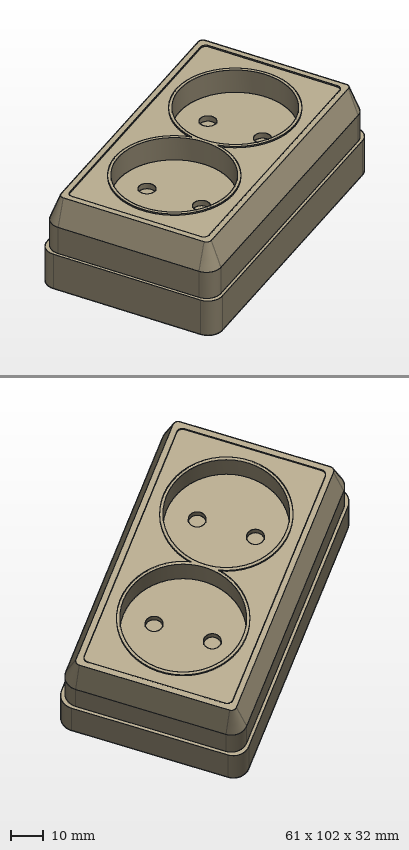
import cadquery as cq

base_width = 61.0
base_length = 102.0
base_height = 13.1
corner_radius = 5.0

cover_inset = 1.0
cover_width = base_width - 2 * cover_inset
cover_length = base_length - 2 * cover_inset
total_height = 32.0
slope_height = 9.1
slope_start = total_height - slope_height
slope_inset = 3.4
top_width = cover_width - 2 * slope_inset
top_length = cover_length - 2 * slope_inset
top_corner_radius = corner_radius - slope_inset

rim_width = 1.9
panel_depth = 0.5
panel_corner_radius = 1.8
panel_height = total_height - panel_depth

socket_spacing = 40.0
well_diameter = 39.0
collar_width = 1.0
collar_diameter = well_diameter + 2 * collar_width
collar_height = panel_depth
collar_top = panel_height + collar_height
well_depth = 8.5
well_floor = collar_top - well_depth

pin_hole_diameter = 5.5
pin_hole_spacing = 19.0
pin_hole_depth = 2.0

socket_centers = [(0, -socket_spacing / 2), (0, socket_spacing / 2)]
pin_centers = [
    (side * pin_hole_spacing / 2, y)
    for _, y in socket_centers
    for side in (-1, 1)
]


def rounded_outline(width, length, radius):
    """Rounded rectangle centred on the origin."""
    return cq.Sketch().rect(width, length).vertices().fillet(radius)


def rounded_block(width, length, radius, bottom, top):
    """Upright block with rounded vertical edges."""
    outline = rounded_outline(width, length, radius)
    return cq.Workplane("XY").workplane(offset=bottom).placeSketch(outline).extrude(top - bottom)


def cylinders(centers, diameter, bottom, top):
    """Upright cylinders at the given centres."""
    plane = cq.Workplane("XY").workplane(offset=bottom)
    return plane.pushPoints(centers).circle(diameter / 2).extrude(top - bottom)


base = rounded_block(base_width, base_length, corner_radius, 0, base_height)
band = rounded_block(cover_width, cover_length, corner_radius, base_height, slope_start)
slope = (
    cq.Workplane("XY")
    .workplane(offset=slope_start)
    .placeSketch(
        rounded_outline(cover_width, cover_length, corner_radius),
        rounded_outline(top_width, top_length, top_corner_radius).moved(
            cq.Location(cq.Vector(0, 0, slope_height))
        ),
    )
    .loft()
)
housing = base.union(band).union(slope)

panel = rounded_block(
    top_width - 2 * rim_width,
    top_length - 2 * rim_width,
    panel_corner_radius,
    panel_height,
    total_height,
)
housing = housing.cut(panel)

housing = housing.union(cylinders(socket_centers, collar_diameter, well_floor, collar_top))
housing = housing.cut(cylinders(socket_centers, well_diameter, well_floor, collar_top))
pin_holes = cylinders(pin_centers, pin_hole_diameter, well_floor - pin_hole_depth, well_floor)

result = housing.cut(pin_holes)